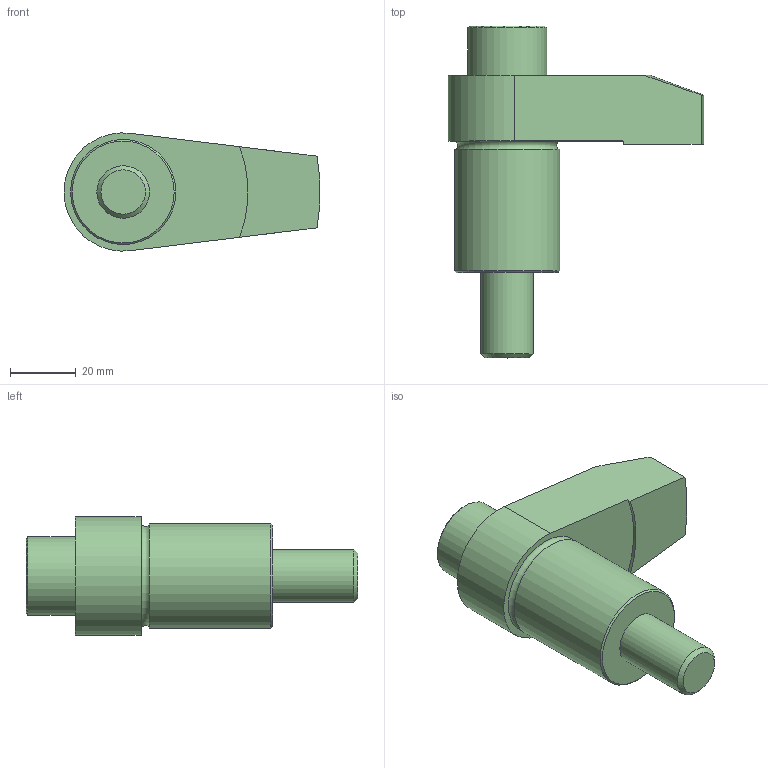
import math
import cadquery as cq


overall_length = 101.0
tail_length = 15.0
hub_thickness = 20.0
sleeve_length = 40.0
hub_back_y = hub_thickness
tail_end_y = hub_back_y + tail_length
sleeve_end_y = -sleeve_length
rod_end_y = tail_end_y - overall_length

tail_radius = 24.0 / 2
hub_radius = 36.0 / 2
sleeve_radius = 32.0 / 2
rod_radius = 16.0 / 2
tail_chamfer = 0.5
sleeve_chamfer = 0.5
rod_chamfer = 1.25

undercut_width = 2.5
undercut_depth = 1.0
undercut_low_point = 1.4
undercut_arc_radius = (undercut_low_point**2 + undercut_depth**2) / (2 * undercut_depth)

arm_reach = 60.0
flank_angle = math.radians(7.0)
pad_inner_radius = 38.0
pad_height = 1.0
bevel_drop = 6.0
bevel_angle = math.radians(20.0)
bevel_start_radius = arm_reach - bevel_drop / math.tan(bevel_angle)


def shaft_cylinder(radius, start_y, end_y):
    """Cylinder about the Y axis between two stations."""
    plane = cq.Workplane("XZ", origin=(0, end_y, 0))
    return plane.circle(radius).extrude(end_y - start_y)


def make_shaft():
    """Tail, hub, sleeve and rod as one turned body."""
    tail = shaft_cylinder(tail_radius, 0, tail_end_y).faces(">Y").chamfer(tail_chamfer)
    hub = shaft_cylinder(hub_radius, 0, hub_back_y)
    sleeve = shaft_cylinder(sleeve_radius, sleeve_end_y, 0).faces("<Y").chamfer(sleeve_chamfer)
    rod = shaft_cylinder(rod_radius, rod_end_y, 0).faces("<Y").chamfer(rod_chamfer)
    return tail.union(hub).union(sleeve).union(rod)


def make_undercut():
    """Ring cut into the sleeve: an arc from the hub face down to a square shoulder."""
    floor_radius = sleeve_radius - undercut_depth
    past_low_point = undercut_width - undercut_low_point
    shoulder_rise = undercut_arc_radius - math.sqrt(undercut_arc_radius**2 - past_low_point**2)
    section = (
        cq.Workplane("XY")
        .moveTo(sleeve_radius, 0)
        .threePointArc(
            (floor_radius, -undercut_low_point),
            (floor_radius + shoulder_rise, -undercut_width),
        )
        .lineTo(sleeve_radius, -undercut_width)
        .close()
    )
    return section.revolve(360, (0, 0, 0), (0, 1, 0))


def arm_prism(start_y, end_y):
    """Arm outline: two flanks tangent to the hub, closed by a concentric tip arc."""
    tangent_x = hub_radius * math.sin(flank_angle)
    tangent_z = hub_radius * math.cos(flank_angle)
    tip_angle = math.pi / 2 - flank_angle - math.acos(hub_radius / arm_reach)
    tip_x = arm_reach * math.cos(tip_angle)
    tip_z = arm_reach * math.sin(tip_angle)
    return (
        cq.Workplane("XZ", origin=(0, end_y, 0))
        .moveTo(tangent_x, tangent_z)
        .lineTo(tip_x, tip_z)
        .threePointArc((arm_reach, 0), (tip_x, -tip_z))
        .lineTo(tangent_x, -tangent_z)
        .threePointArc((-hub_radius, 0), (tangent_x, tangent_z))
        .close()
        .extrude(end_y - start_y)
    )


def make_bevel_ring():
    """Ring that turns the back of the arm tip into a cone about the shaft axis."""
    overshoot = 1.0
    outer_radius = arm_reach + overshoot
    drop = (outer_radius - bevel_start_radius) * math.tan(bevel_angle)
    section = (
        cq.Workplane("XY")
        .moveTo(bevel_start_radius, hub_back_y)
        .lineTo(outer_radius, hub_back_y - drop)
        .lineTo(outer_radius, hub_back_y)
        .close()
    )
    return section.revolve(360, (0, 0, 0), (0, 1, 0))


def make_arm():
    """Tapered arm with a raised pad at the front of its tip and a conical bevel at the back."""
    body = arm_prism(0, hub_back_y)
    pad = arm_prism(-pad_height, hub_back_y)
    pad = pad.cut(shaft_cylinder(pad_inner_radius, -pad_height, hub_back_y))
    return body.union(pad).cut(make_bevel_ring())


result = make_shaft().cut(make_undercut()).union(make_arm())